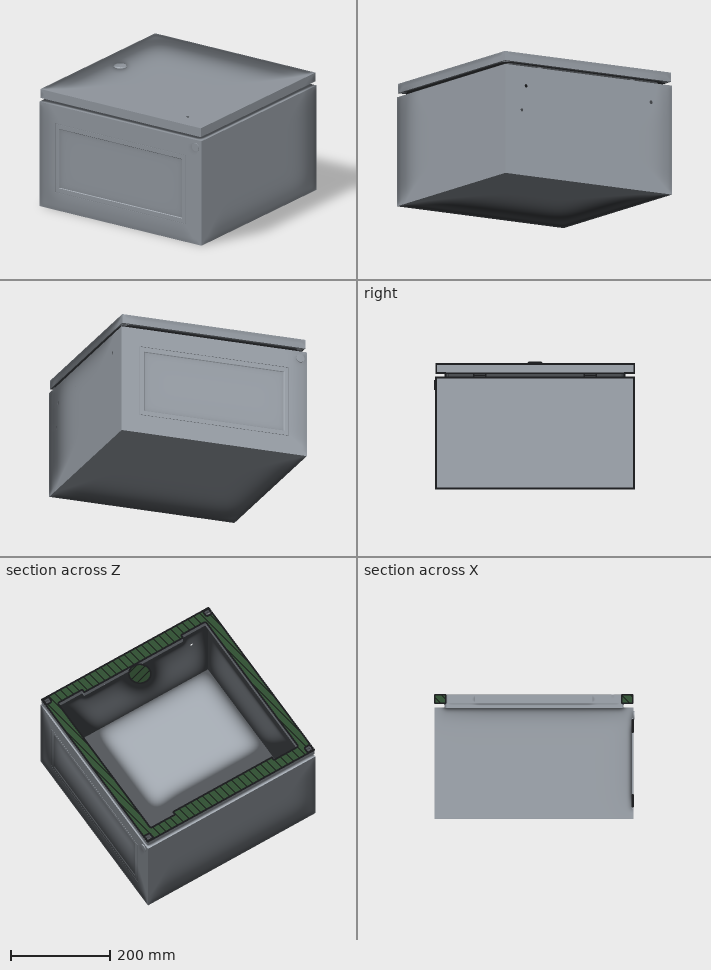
import cadquery as cq

WIDTH = 400.0
HOUSING_HEIGHT = 224.0
SHEET = 1.0
HOUSING_FRONT = -WIDTH / 2
HOUSING_LEFT = -WIDTH / 2

LID_CENTRE_X = -0.5
LID_CENTRE_Y = 0.5
LID_WIDTH = 395.5
LID_DEPTH = 398.8
LID_BOTTOM = 232.0
LID_TOP = 251.0
LID_SKIN_BOTTOM = LID_TOP - SHEET

POCKET_WIDTH = 345.7
POCKET_DEPTH = 352.5
POCKET_CORNER_RADIUS = 3.2
POCKET_WAIST_WIDTH = 331.0
POCKET_WAIST_LENGTH = 236.8

RECESS_SIDE = 12.5
RECESS_RADIUS = 3.5
RECESS_OUTER_X = 195.0
RECESS_OUTER_Y = 197.5

HOLE_RADIUS = 3.5
LID_HOLE_X = 137.0
LID_HOLE_Y = -158.8
UPPER_HOLE_Y = 150.0
UPPER_HOLE_Z = 184.0
LOWER_HOLE_Y = 160.0
LOWER_HOLE_Z = 134.0
LOWER_HOLE_RADIUS = 3.2

COLLAR_WIDTH = 360.0
COLLAR_RADIUS = 5.2
COLLAR_HEIGHT = LID_BOTTOM - HOUSING_HEIGHT

RIM_PART_Y = 111.0
STUD_X = -187.7
STUD_RADIUS = 5.5
STUD_HEIGHT = 3.2
HINGE_X = 182.5
HINGE_LENGTH = 24.0
HINGE_LIP = 2.5
HINGE_LIP_HEIGHT = 4.0

BUTTON_X = 185.7
BUTTON_Z = 208.5
BUTTON_RADIUS = 8.5
BUTTON_HEIGHT = 2.0

PLATE_CENTRE_Z = HOUSING_HEIGHT / 2
OPENING_WIDTH = 322.5
OPENING_HEIGHT = 148.0
PANEL_GAP = 1.2
FLANGE_WIDTH = 359.8
FLANGE_HEIGHT = 183.5
FLANGE_THICKNESS = 2.0
GROOVE_RIM = 1.5
GROOVE_INNER_WIDTH = 348.0
GROOVE_INNER_HEIGHT = 175.5
GROOVE_DEPTH = 0.5
PRESSING_WIDTH = 303.0
PRESSING_HEIGHT = 127.5
PRESSING_DEPTH = 1.2
PRESSING_DRAFT = 45

LOCK_X = -142.5
KNOB_TOP = 254.0
KNOB_RADIUS = 13.5
KNOB_CHAMFER = 2.0
LOCK_FLANGE_RADIUS = 22.5
LOCK_FLANGE_THICKNESS = 4.0


def upright_block(width, depth, bottom, top, centre_x=0, centre_y=0):
    """Block standing between two heights."""
    return (
        cq.Workplane("XY", origin=(centre_x, centre_y, bottom))
        .rect(width, depth)
        .extrude(top - bottom)
    )


def upright_cylinder(radius, bottom, top, x, y):
    """Vertical cylinder between two heights."""
    return cq.Workplane("XY", origin=(x, y, bottom)).circle(radius).extrude(top - bottom)


def front_block(width, height, depth_start, thickness, draft=0):
    """Block centred on the gland plate, starting a given depth behind the front wall's outer face."""
    start = (0, HOUSING_FRONT + depth_start, PLATE_CENTRE_Z)
    return (
        cq.Workplane("XZ", origin=start)
        .rect(width, height)
        .extrude(-thickness, taper=draft)
    )


def collar_block(width, radius, bottom, top):
    """Square block with rounded vertical edges."""
    return upright_block(width, width, bottom, top).edges("|Z").fillet(radius)


def side_hole(radius, y, z):
    """Cutter for a hole through the left wall."""
    return cq.Workplane("YZ", origin=(HOUSING_LEFT, y, z)).circle(radius).extrude(SHEET)


def hinge_leaf(y):
    """Thin upright leaf with a lip at its top, on the right rim."""
    leaf = upright_block(SHEET, HINGE_LENGTH, HOUSING_HEIGHT, LID_BOTTOM, HINGE_X + SHEET / 2, y)
    lip_bottom = LID_BOTTOM - HINGE_LIP_HEIGHT
    lip = upright_block(HINGE_LIP, HINGE_LENGTH, lip_bottom, LID_BOTTOM, HINGE_X + HINGE_LIP / 2, y)
    return leaf.union(lip)


def make_housing():
    inner_width = WIDTH - 2 * SHEET
    body = upright_block(WIDTH, WIDTH, 0, HOUSING_HEIGHT)
    body = body.cut(upright_block(inner_width, inner_width, SHEET, HOUSING_HEIGHT - SHEET))

    rim_top = HOUSING_HEIGHT + COLLAR_HEIGHT
    mouth_width = COLLAR_WIDTH - 2 * SHEET
    body = body.union(collar_block(COLLAR_WIDTH, COLLAR_RADIUS, HOUSING_HEIGHT, rim_top))
    body = body.cut(collar_block(mouth_width, COLLAR_RADIUS - SHEET, HOUSING_HEIGHT - SHEET, rim_top))

    for y in (-RIM_PART_Y, RIM_PART_Y):
        stud_top = HOUSING_HEIGHT + STUD_HEIGHT
        body = body.union(upright_cylinder(STUD_RADIUS, HOUSING_HEIGHT, stud_top, STUD_X, y))
        body = body.union(hinge_leaf(y))

    for y in (-UPPER_HOLE_Y, UPPER_HOLE_Y):
        body = body.cut(side_hole(HOLE_RADIUS, y, UPPER_HOLE_Z))
    body = body.cut(side_hole(LOWER_HOLE_RADIUS, LOWER_HOLE_Y, LOWER_HOLE_Z))

    body = body.cut(front_block(OPENING_WIDTH, OPENING_HEIGHT, 0, SHEET))
    button = (
        cq.Workplane("XZ", origin=(BUTTON_X, HOUSING_FRONT, BUTTON_Z))
        .circle(BUTTON_RADIUS)
        .extrude(BUTTON_HEIGHT)
    )
    return body.union(button)


def lid_pocket():
    """Cutter for the underside pocket of the lid."""
    pocket = upright_block(
        POCKET_WIDTH, POCKET_DEPTH, LID_BOTTOM, LID_SKIN_BOTTOM, LID_CENTRE_X, LID_CENTRE_Y
    )
    pocket = pocket.edges("|Z").fillet(POCKET_CORNER_RADIUS)
    notch_width = (POCKET_WIDTH - POCKET_WAIST_WIDTH) / 2
    notch_offset = (POCKET_WAIST_WIDTH + notch_width) / 2
    for side in (-1, 1):
        notch = upright_block(
            notch_width,
            POCKET_WAIST_LENGTH,
            LID_BOTTOM,
            LID_SKIN_BOTTOM,
            LID_CENTRE_X + side * notch_offset,
            LID_CENTRE_Y,
        )
        pocket = pocket.cut(notch)
    return pocket


def corner_recess(side_x, side_y):
    """Cutter for a square recess below one lid corner, rounded towards the lid centre."""
    recess = upright_block(
        RECESS_SIDE,
        RECESS_SIDE,
        LID_BOTTOM,
        LID_SKIN_BOTTOM,
        LID_CENTRE_X + side_x * (RECESS_OUTER_X - RECESS_SIDE / 2),
        LID_CENTRE_Y + side_y * (RECESS_OUTER_Y - RECESS_SIDE / 2),
    )
    inward_x = "<X" if side_x > 0 else ">X"
    inward_y = "<Y" if side_y > 0 else ">Y"
    return recess.edges("|Z").edges(inward_x).edges(inward_y).fillet(RECESS_RADIUS)


def make_lid():
    lid = upright_block(LID_WIDTH, LID_DEPTH, LID_BOTTOM, LID_TOP, LID_CENTRE_X, LID_CENTRE_Y)
    lid = lid.cut(lid_pocket())
    for side_x in (-1, 1):
        for side_y in (-1, 1):
            lid = lid.cut(corner_recess(side_x, side_y))
    lid = lid.cut(upright_cylinder(HOLE_RADIUS, LID_SKIN_BOTTOM, LID_TOP, LID_HOLE_X, LID_HOLE_Y))
    return lid.cut(upright_cylinder(KNOB_RADIUS, LID_SKIN_BOTTOM, LID_TOP, LOCK_X, 0))


def make_lock():
    knob = upright_cylinder(KNOB_RADIUS, LID_SKIN_BOTTOM, KNOB_TOP, LOCK_X, 0)
    knob = knob.faces(">Z").chamfer(KNOB_CHAMFER)
    flange_bottom = LID_SKIN_BOTTOM - LOCK_FLANGE_THICKNESS
    flange = upright_cylinder(LOCK_FLANGE_RADIUS, flange_bottom, LID_SKIN_BOTTOM, LOCK_X, 0)
    return knob.union(flange)


def make_gland_plate():
    flange = front_block(FLANGE_WIDTH, FLANGE_HEIGHT, SHEET, FLANGE_THICKNESS)
    groove = front_block(
        FLANGE_WIDTH - 2 * GROOVE_RIM, FLANGE_HEIGHT - 2 * GROOVE_RIM, SHEET, GROOVE_DEPTH
    ).cut(front_block(GROOVE_INNER_WIDTH, GROOVE_INNER_HEIGHT, SHEET, GROOVE_DEPTH))
    panel = front_block(OPENING_WIDTH - 2 * PANEL_GAP, OPENING_HEIGHT - 2 * PANEL_GAP, 0, SHEET)
    pressing = front_block(PRESSING_WIDTH, PRESSING_HEIGHT, 0, PRESSING_DEPTH, PRESSING_DRAFT)
    return flange.cut(groove).union(panel).cut(pressing)


housing = make_housing()
lid = make_lid()
lock = make_lock()
gland_plate = make_gland_plate()

result = cq.Compound.makeCompound([housing.val(), lid.val(), lock.val(), gland_plate.val()])